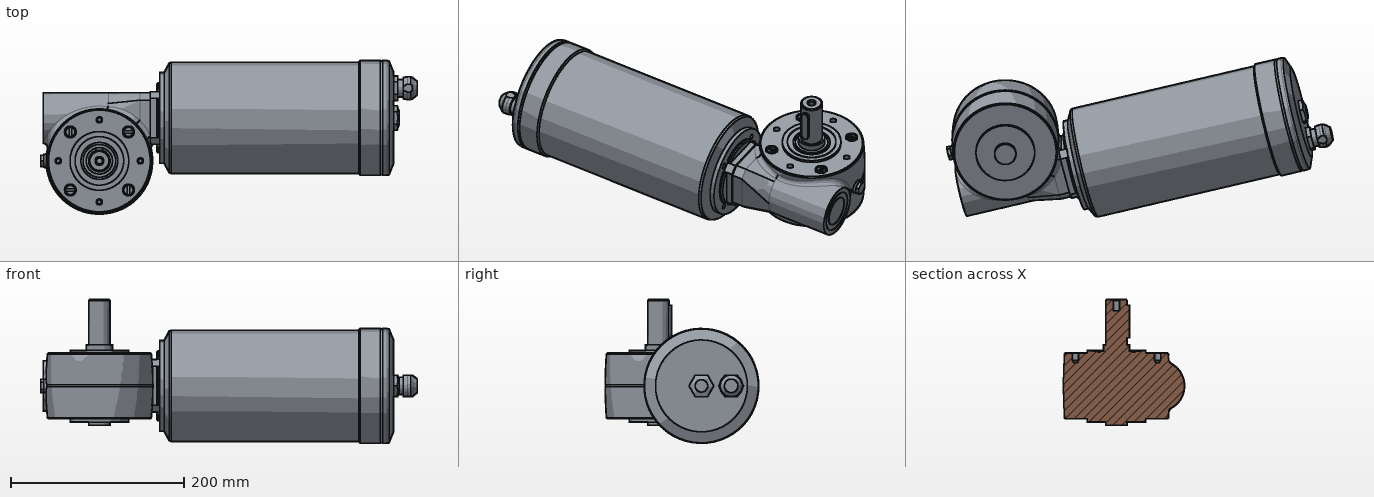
import cadquery as cq
import math


motor_axis_y = 49.5
overall_height = 166.5
end_cap_diameter = 133.0

drum_mid_radius = 123.2 / 2
drum_end_radius = 60.0
drum_height = 76.0
drum_chamfer = 1.5
drum_top = drum_height / 2
seam_width = 2.5
seam_depth = 0.5
seam_pad_x = -60.5
seam_pad_depth = 8.5
seam_pad_length = 8.5
seam_pad_height = 8.3
seam_pad_overlap = 1.0

flange_diameter = 68.0
flange_top = 41.0
flange_bottom = -42.0
flange_step_diameter = 56.0
flange_step_depth = 1.0
seal_diameter = 42.5
seal_inner_diameter = 38.0
seal_depth = 1.7
shaft_diameter = 25.0
shaft_top = overall_height - end_cap_diameter / 2
shaft_bottom = -45.7
shaft_chamfer = 1.5
collar_diameter = 30.5
collar_top = 47.5
center_hole_diameter = 7.0
center_sink_diameter = 10.0
center_hole_depth = 13.0
key_width = 8.0
key_crest_y = 15.2
key_end_gap = 6.5
key_length = 38.0

cover_bolt_radius = 47.5
cover_hole_diameter = 7.0
cover_hole_core_diameter = 5.0
cover_hole_depth = 8.5
cover_hole_core_depth = 11.0
screw_recess_diameter = 13.5
screw_head_diameter = 11.0
screw_recess_depth = 1.7
screw_slot_width = 3.0
screw_slot_depth = 1.5

plug_x = -68.0
plug_head_height = 4.0
plug_across_flats = 13.5
plug_boss_diameter = 15.0
plug_boss_foot_diameter = 19.0
plug_boss_depth = 6.5

tube_diameter = 58.5
tube_start_x = -65.0
tube_end_x = 10.0
tube_fillet = 5.5
cap_ring_diameters = (46.5, 33.5)
cap_ring_depth = 0.5

neck_side = 61.0
neck_corner_chamfer = 8.0
block_start_x = 46.5
block_side = 58.5
block_corner_chamfer = 8.5
neck_start_x = 59.0
adapter_x = 66.0
adapter_diameter = 81.0
adapter_chamfer = 1.7
adapter_lobe_width = 45.5

face_plate_x = 69.5
face_plate_diameter = 105.5
face_hole_offset = 30.5
face_hole_diameter = 6.0
face_hole_core_diameter = 4.15
face_hole_depth = 4.5
face_hole_core_depth = 5.5
nose_x = 75.0
nose_rim_x = 80.5
body_x = 83.0
body_diameter = 129.0
nose_rim_diameter = 126.7
end_cap_x = 299.5
end_cap_lead = 1.7
end_cap_groove_x = 325.0
end_cap_groove_width = 2.5
end_cap_groove_depth = 0.5
end_cap_bevel_x = 332.5
end_cap_rim_x = 335.0
end_cap_rim_diameter = 131.5
motor_end_x = 340.0
motor_end_diameter = 106.3

gland_y = motor_axis_y + 34.5
hex_across_flats = 25.0
gland_flange_end_x = 345.0
gland_neck_diameter = 20.5
gland_nut_x = 351.0
gland_nut_rib_x = 356.0
gland_nut_rib_end_x = 359.7
gland_nut_diameter = 26.5
gland_nut_end_x = 362.0
gland_tip_x = 367.5
gland_tip_diameter = 15.5
end_plug_shoulder_x = 344.0
end_plug_tip_x = 346.5
end_plug_tip_diameter = 14.5


def rod_z(diameter, z_from, z_to):
    return cq.Workplane("XY").workplane(offset=z_from).circle(diameter / 2).extrude(z_to - z_from)


def plane_x(x, y=motor_axis_y):
    """Workplane facing +X; its local axes are Y and Z."""
    return cq.Workplane("YZ", origin=(x, y, 0))


def rod_x(diameter, x_from, x_to, y=motor_axis_y):
    return plane_x(x_from, y).circle(diameter / 2).extrude(x_to - x_from)


def hex_x(across_flats, x_from, x_to, y):
    """Hexagonal bar along X with its corners toward +Y and -Y."""
    corner_diameter = across_flats / math.cos(math.pi / 6)
    return plane_x(x_from, y).polygon(6, corner_diameter).extrude(x_to - x_from)


def turned_x(stations, y=motor_axis_y):
    """Solid of revolution along X through (x, diameter) stations."""
    points = [(x, y + diameter / 2) for x, diameter in stations]
    outline = [(stations[0][0], y)] + points + [(stations[-1][0], y)]
    return cq.Workplane("XY").polyline(outline).close().revolve(360, (0, y, 0), (1, y, 0))


def stepped_holes(centers, diameter, depth, core_diameter, core_depth):
    """Cutters for threaded holes: a wide thread and a narrower core reaching deeper."""
    threads = centers.circle(diameter / 2).extrude(depth)
    cores = centers.circle(core_diameter / 2).extrude(core_depth)
    return threads.union(cores)


def make_drum():
    return (
        cq.Workplane("XZ")
        .moveTo(0, -drum_top)
        .lineTo(drum_end_radius, -drum_top)
        .threePointArc((drum_mid_radius, 0), (drum_end_radius, drum_top))
        .lineTo(0, drum_top)
        .close()
        .revolve(360, (0, 0, 0), (0, 1, 0))
        .faces("|Z")
        .edges()
        .chamfer(drum_chamfer)
    )


def chamfered_square_x(side, corner_chamfer, x_from, x_to):
    bar = plane_x(x_from).rect(side, side).extrude(x_to - x_from)
    return bar.edges("|X").chamfer(corner_chamfer)


def make_neck_transition():
    """Loft from the round tube to the square block."""
    half = block_side / 2
    flat = half - block_corner_chamfer
    corners = [(half, flat), (flat, half), (-flat, half), (-half, flat)]
    corners += [(-y, -z) for y, z in corners]
    return (
        plane_x(tube_end_x)
        .circle(tube_diameter / 2)
        .workplane(offset=block_start_x - tube_end_x)
        .polyline(corners)
        .close()
        .loft()
    )


def is_drum_junction(edge):
    """True for an edge where the worm casing meets the barrel of the drum."""
    middle = edge.positionAt(0.5)
    beside_casing = middle.y > motor_axis_y - neck_side / 2
    return beside_casing and math.hypot(middle.x, middle.y) < drum_mid_radius + tube_fillet / 2


def make_housing():
    raw_start_x = tube_start_x - 2 * tube_fillet
    tube = rod_x(tube_diameter, raw_start_x, tube_end_x)
    block = chamfered_square_x(block_side, block_corner_chamfer, block_start_x, adapter_x)
    casing = tube.union(make_neck_transition()).union(block)
    housing = make_drum().union(casing)
    housing = housing.edges().filter(is_drum_junction).fillet(tube_fillet)
    housing = housing.cut(rod_x(2 * tube_diameter, raw_start_x, tube_start_x))
    neck = chamfered_square_x(neck_side, neck_corner_chamfer, neck_start_x, adapter_x)
    return housing.union(neck).union(make_seam_pad())


def make_seam_pad():
    """Flat pad across the seam in the corner between drum and tube."""
    top_y = motor_axis_y - tube_diameter / 2 + seam_pad_overlap
    pad = cq.Workplane("XY").box(
        seam_pad_depth, seam_pad_length, seam_pad_height, centered=(False, False, True)
    )
    return pad.translate((seam_pad_x, top_y - seam_pad_length, 0))


def cut_tube_cap_rings(body):
    """Shallow concentric steps in the end face of the tube, deeper toward the middle."""
    for depth_step, diameter in enumerate(cap_ring_diameters, start=1):
        body = body.cut(rod_x(diameter, tube_start_x, tube_start_x + depth_step * cap_ring_depth))
    return body


def make_seam_groove():
    groove_radius = drum_mid_radius - seam_depth
    band = cq.Workplane("XY").circle(drum_mid_radius).circle(groove_radius)
    groove = band.extrude(seam_width / 2, both=True)
    return groove.cut(rod_x(tube_diameter + 2 * tube_fillet, tube_start_x, adapter_x))


def make_wheel_shaft():
    shaft = rod_z(shaft_diameter, shaft_bottom, shaft_top).faces(">Z").chamfer(shaft_chamfer)
    shaft = shaft.union(rod_z(collar_diameter, 0, collar_top))
    key_center_z = shaft_top - key_end_gap - key_length / 2
    key = (
        cq.Workplane("XZ", origin=(0, 0, key_center_z))
        .slot2D(key_length, key_width, 90)
        .extrude(-key_crest_y)
    )
    center_hole = rod_z(center_hole_diameter, shaft_top - center_hole_depth, shaft_top)
    sink_depth = (center_sink_diameter - center_hole_diameter) / 2
    center_sink = (
        cq.Workplane("XY", origin=(0, 0, shaft_top))
        .circle(center_sink_diameter / 2)
        .extrude(-sink_depth, taper=45)
    )
    return shaft.union(key).cut(center_hole).cut(center_sink)


def make_flanges():
    flanges = rod_z(flange_diameter, flange_bottom, flange_top)
    step = rod_z(flange_step_diameter, flange_top - flange_step_depth, flange_top)
    seal_floor = flange_top - seal_depth
    seal_gap = rod_z(seal_diameter, seal_floor, flange_top)
    seal_gap = seal_gap.cut(rod_z(seal_inner_diameter, seal_floor, flange_top))
    return flanges.cut(step).cut(seal_gap)


def make_cover_holes():
    centers = cq.Workplane("XY", origin=(0, 0, drum_top)).polarArray(cover_bolt_radius, 0, 360, 4)
    return stepped_holes(
        centers, cover_hole_diameter, -cover_hole_depth, cover_hole_core_diameter, -cover_hole_core_depth
    )


def make_screw_cutter():
    """Ring-shaped gap around a flush screw head plus the driver slot along X."""
    ring = (
        cq.Workplane("XY")
        .circle(screw_recess_diameter / 2)
        .circle(screw_head_diameter / 2)
        .extrude(-screw_recess_depth)
    )
    slot = cq.Workplane("XY").rect(screw_head_diameter, screw_slot_width).extrude(-screw_slot_depth)
    return ring.union(slot)


def cut_cover_screws(body):
    cutter = make_screw_cutter().translate((0, 0, drum_top))
    offset = cover_bolt_radius / math.sqrt(2)
    for quarter in range(4):
        screw = cutter.translate((offset, offset, 0)).rotate((0, 0, 0), (0, 0, 1), 90 * quarter)
        body = body.cut(screw)
    return body


def make_oil_plug():
    head_end_x = plug_x + plug_head_height
    head = hex_x(plug_across_flats, plug_x, head_end_x, 0)
    head = head.rotate((0, 0, 0), (1, 0, 0), 90)
    boss = turned_x(
        [(head_end_x, plug_boss_diameter), (head_end_x + plug_boss_depth, plug_boss_foot_diameter)], 0
    )
    return head.union(boss)


def make_adapter():
    """Round disc with its four corners cut away, leaving a cross of four lobes."""
    thickness = face_plate_x - adapter_x
    cross = plane_x(adapter_x).rect(adapter_diameter, adapter_lobe_width).extrude(thickness)
    cross = cross.union(plane_x(adapter_x).rect(adapter_lobe_width, adapter_diameter).extrude(thickness))
    core = chamfered_square_x(neck_side, neck_corner_chamfer, adapter_x, face_plate_x)
    disc = rod_x(adapter_diameter, adapter_x, face_plate_x).faces("<X").chamfer(adapter_chamfer)
    return cross.intersect(disc).union(core)


def make_motor():
    groove_diameter = end_cap_diameter - 2 * end_cap_groove_depth
    groove_end_x = end_cap_groove_x + end_cap_groove_width
    motor = turned_x(
        [
            (face_plate_x, face_plate_diameter),
            (nose_x, face_plate_diameter),
            (nose_rim_x, nose_rim_diameter),
            (body_x, body_diameter),
            (end_cap_x, body_diameter),
            (end_cap_x + end_cap_lead, end_cap_diameter),
            (end_cap_groove_x, end_cap_diameter),
            (end_cap_groove_x, groove_diameter),
            (groove_end_x, groove_diameter),
            (groove_end_x, end_cap_diameter),
            (end_cap_bevel_x, end_cap_diameter),
            (end_cap_rim_x, end_cap_rim_diameter),
            (motor_end_x, motor_end_diameter),
        ]
    )
    face_hole_spacing = 2 * face_hole_offset
    centers = (
        plane_x(face_plate_x).rect(face_hole_spacing, face_hole_spacing, forConstruction=True).vertices()
    )
    face_holes = stepped_holes(
        centers, face_hole_diameter, face_hole_depth, face_hole_core_diameter, face_hole_core_depth
    )
    return motor.cut(face_holes)


def make_cable_gland():
    """Hex flange, neck and a round nut with flats at its top and bottom."""
    flange = hex_x(hex_across_flats, motor_end_x, gland_flange_end_x, gland_y)
    neck = rod_x(gland_neck_diameter, motor_end_x, gland_nut_x, gland_y)
    nut = turned_x(
        [
            (gland_nut_x, hex_across_flats),
            (gland_nut_rib_x, gland_nut_diameter),
            (gland_nut_rib_end_x, gland_nut_diameter),
            (gland_nut_end_x, hex_across_flats),
            (gland_tip_x, gland_tip_diameter),
        ],
        gland_y,
    )
    nut_length = gland_tip_x - gland_nut_x
    flats = plane_x(gland_nut_x, gland_y).rect(gland_nut_diameter, hex_across_flats).extrude(nut_length)
    nut = nut.intersect(flats)
    return flange.union(neck).union(nut)


def make_end_plug():
    corner_diameter = hex_across_flats / math.cos(math.pi / 6)
    dome = turned_x(
        [
            (motor_end_x, corner_diameter),
            (end_plug_shoulder_x, corner_diameter),
            (end_plug_tip_x, end_plug_tip_diameter),
        ]
    )
    return dome.intersect(hex_x(hex_across_flats, motor_end_x, end_plug_tip_x, motor_axis_y))


housing = make_housing().cut(make_seam_groove())
housing = cut_tube_cap_rings(housing)
housing = cut_cover_screws(housing.cut(make_cover_holes()))
gearbox = housing.union(make_flanges()).union(make_wheel_shaft()).union(make_oil_plug())
motor = make_motor().union(make_cable_gland()).union(make_end_plug())
result = gearbox.union(make_adapter()).union(motor)